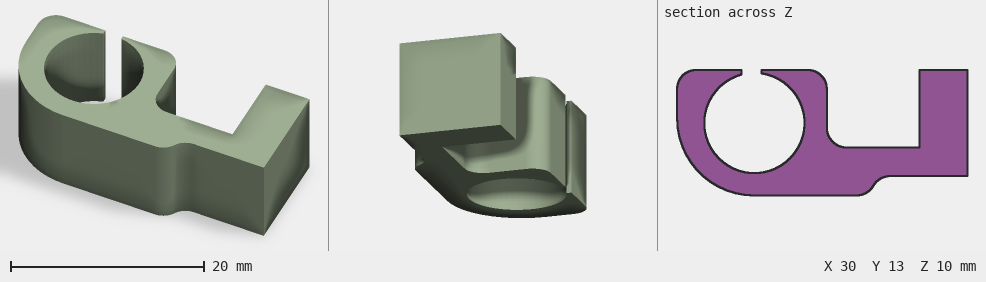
import cadquery as cq
import math

length = 30.0
depth = 13.0
height = 10.0

clip_width = 15.5
heel_radius = 8.0
corner_radius = 2.0

bore_diameter = 10.3
bore_x = heel_radius
bore_y = 7.5
slot_width = 2.0
slot_center_x = 7.7

arm_top_y = 5.0
post_width = 5.0
post_left_x = length - post_width
step_height = 2.0

step_radius = 2.0
step_end_x = 22.0
step_angle = math.acos(1 - step_height / (2 * step_radius))
step_arc_run = step_radius * math.sin(step_angle)
step_mid_x = step_end_x - step_arc_run
step_start_x = step_mid_x - step_arc_run
half_arc_run = step_radius * math.sin(step_angle / 2)
half_arc_rise = step_radius * (1 - math.cos(step_angle / 2))


def make_body():
    """Extruded outline of clip, arm and post, with the S-step, before the corners are rounded."""
    return (
        cq.Workplane("XY")
        .moveTo(0, 0)
        .lineTo(step_start_x, 0)
        .threePointArc((step_start_x + half_arc_run, half_arc_rise), (step_mid_x, step_height / 2))
        .threePointArc((step_end_x - half_arc_run, step_height - half_arc_rise), (step_end_x, step_height))
        .lineTo(length, step_height)
        .lineTo(length, depth)
        .lineTo(post_left_x, depth)
        .lineTo(post_left_x, arm_top_y)
        .lineTo(clip_width, arm_top_y)
        .lineTo(clip_width, depth)
        .lineTo(0, depth)
        .close()
        .extrude(height)
    )


def round_upright_edge(body, x, y, radius):
    """Fillet the vertical edge standing at (x, y)."""
    edge = cq.selectors.NearestToPointSelector((x, y, height / 2))
    return body.edges("|Z").edges(edge).fillet(radius)


def round_corners(body):
    """Round the heel, both upper clip corners and the corner between clip and arm."""
    body = round_upright_edge(body, 0, 0, heel_radius)
    for x, y in [(0, depth), (clip_width, depth), (clip_width, arm_top_y)]:
        body = round_upright_edge(body, x, y, corner_radius)
    return body


def make_bore_with_slot():
    """Cutter for the through bore and the slot that opens it to the +Y side."""
    bore = cq.Workplane("XY").center(bore_x, bore_y).circle(bore_diameter / 2).extrude(height)
    slot_length = depth - bore_y
    slot = (
        cq.Workplane("XY")
        .center(slot_center_x, bore_y + slot_length / 2)
        .rect(slot_width, slot_length)
        .extrude(height)
    )
    return bore.union(slot)


result = round_corners(make_body()).cut(make_bore_with_slot())